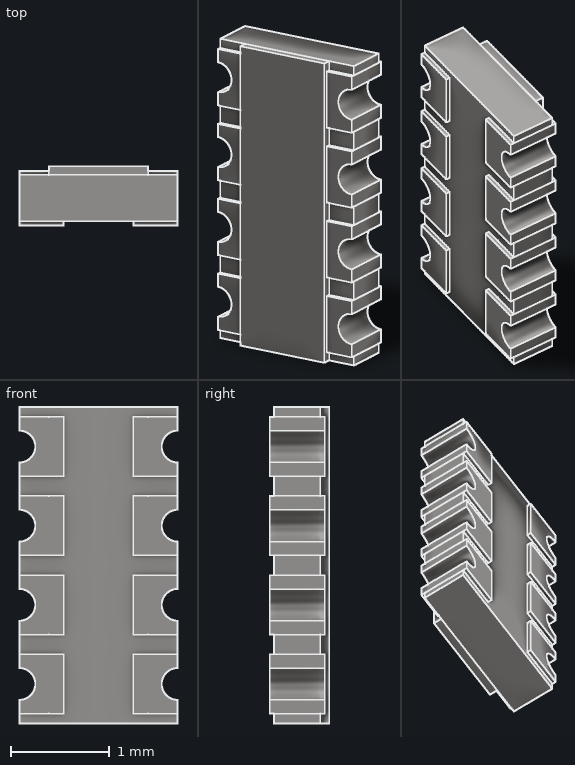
import cadquery as cq


length = 3.2
width = 1.6
substrate_thickness = 0.47
cover_width = 1.005
cover_thickness = 0.09
pad_thickness = 0.04
solder_pad_width = 0.448
terminal_height = 0.6
groove_radius = 0.16
terminals_per_side = 4

pitch = length / terminals_per_side
total_thickness = pad_thickness + substrate_thickness + cover_thickness
solder_face_y = -total_thickness / 2
substrate_front_y = solder_face_y + pad_thickness
substrate_back_y = substrate_front_y + substrate_thickness
back_pad_width = (width - cover_width) / 2
terminal_depth = substrate_thickness + 2 * pad_thickness

terminal_places = [
    (side, (row - (terminals_per_side - 1) / 2) * pitch)
    for side in (-1, 1)
    for row in range(terminals_per_side)
]


def block(x_size, y_size, z_size, x_center, y_front, z_center):
    """Box centred in X and Z that starts at y_front and runs toward +Y."""
    box = cq.Workplane("XY").box(x_size, y_size, z_size, centered=(True, False, True))
    return box.translate((x_center, y_front, z_center))


def make_terminal(side, z_center):
    """L-shaped terminal: solder pad plus a web through the substrate, grooved along Y."""
    edge_x = side * width / 2
    web = block(
        back_pad_width, terminal_depth, terminal_height,
        edge_x - side * back_pad_width / 2, solder_face_y, z_center,
    )
    solder_pad = block(
        solder_pad_width, pad_thickness, terminal_height,
        edge_x - side * solder_pad_width / 2, solder_face_y, z_center,
    )
    groove = (
        cq.Workplane("XZ", origin=(edge_x, solder_face_y, z_center))
        .circle(groove_radius)
        .extrude(-terminal_depth)
    )
    return web.union(solder_pad).cut(groove)


def make_substrate():
    """Ceramic plate with an open recess in its side for each terminal web."""
    plate = block(width, substrate_thickness, length, 0, substrate_front_y, 0)
    for side, z_center in terminal_places:
        recess = block(
            back_pad_width, substrate_thickness, terminal_height,
            side * (width - back_pad_width) / 2, substrate_front_y, z_center,
        )
        plate = plate.cut(recess)
    return plate


def make_cover():
    """Protective coat along the middle of the back face, full length."""
    return block(cover_width, cover_thickness, length, 0, substrate_back_y, 0)


substrate = make_substrate()
cover = make_cover()
terminals = [make_terminal(side, z_center) for side, z_center in terminal_places]

result = cq.Compound.makeCompound(
    [substrate.val(), cover.val(), *[terminal.val() for terminal in terminals]]
)